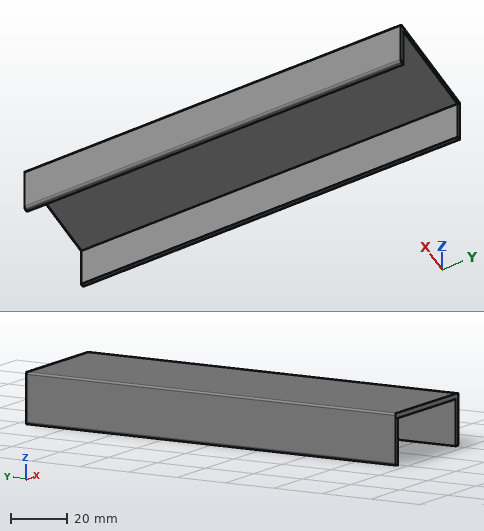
import cadquery as cq

width = 44.5
length = 152.4
height = 19.0
wall = 2.0

top_radius = 0.8
foot_radius = 0.9

block = cq.Workplane("XY").box(width, length, height)
block = block.edges("|Y and >Z").fillet(top_radius)

cavity = cq.Workplane("XY").box(width - 2 * wall, length, height).translate((0, 0, -wall))
channel = block.cut(cavity)

result = channel.edges("(|Y and <Z) and (<X or >X)").fillet(foot_radius)